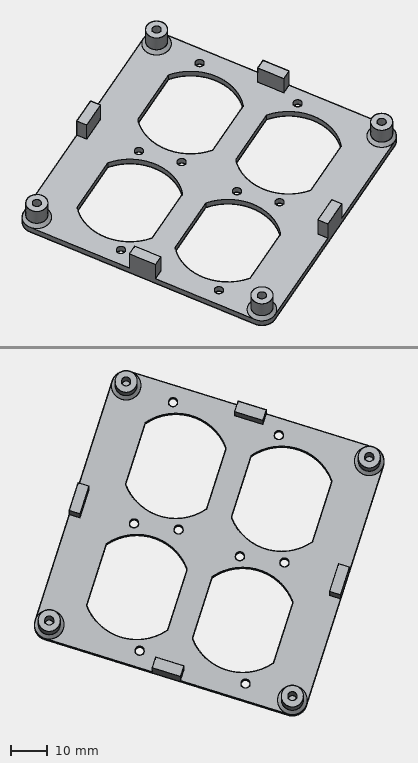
import cadquery as cq

side = 77.0
plate_thickness = 2.0
total_height = 8.0
corner_radius = 4.0

standoff_diameter = 6.0
standoff_bore = 2.5
flare_height = 1.0
standoff_height = total_height - plate_thickness
standoff_offset = side / 2 - corner_radius

tab_width = 8.0
tab_depth = 3.1
tab_offset = (side - tab_depth) / 2

opening_diameter = 28.95
opening_width = 22.95
opening_x = 15.0
opening_y = 17.5
screw_diameter = 2.5
screw_dx = 6.0
screw_dy = 16.5


def make_standoff():
    """Solid post with a conical flare at its foot, standing on the plate."""
    post_radius = standoff_diameter / 2
    flare_radius = post_radius + flare_height
    profile = [
        (0, 0),
        (flare_radius, 0),
        (post_radius, flare_height),
        (post_radius, standoff_height),
        (0, standoff_height),
    ]
    post = cq.Workplane("XZ").polyline(profile).close().revolve(360, (0, 0), (0, 1))
    return post.translate((0, 0, plate_thickness))


def make_opening():
    """Cutter for a round opening with two flat sides."""
    disc = cq.Workplane("XY").circle(opening_diameter / 2).extrude(plate_thickness)
    strip = cq.Workplane("XY").rect(opening_width, opening_diameter).extrude(plate_thickness)
    return disc.intersect(strip)


plate = cq.Workplane("XY").rect(side, side).extrude(plate_thickness)
result = plate.edges("|Z").fillet(corner_radius)

for quarter_turn in range(4):
    tab = (
        cq.Workplane("XY")
        .center(tab_offset, 0)
        .rect(tab_depth, tab_width)
        .extrude(total_height)
        .rotate((0, 0, 0), (0, 0, 1), 90 * quarter_turn)
    )
    result = result.union(tab)

standoff = make_standoff()
bore = (
    cq.Workplane("XY", origin=(0, 0, plate_thickness))
    .circle(standoff_bore / 2)
    .extrude(standoff_height)
)
for x in (-standoff_offset, standoff_offset):
    for y in (-standoff_offset, standoff_offset):
        result = result.union(standoff.translate((x, y, 0)))
        result = result.cut(bore.translate((x, y, 0)))

opening = make_opening()
screw_holes = (
    cq.Workplane("XY")
    .pushPoints([(-screw_dx, screw_dy), (screw_dx, -screw_dy)])
    .circle(screw_diameter / 2)
    .extrude(plate_thickness)
)
for x in (-opening_x, opening_x):
    for y in (-opening_y, opening_y):
        result = result.cut(opening.translate((x, y, 0)))
        result = result.cut(screw_holes.translate((x, y, 0)))